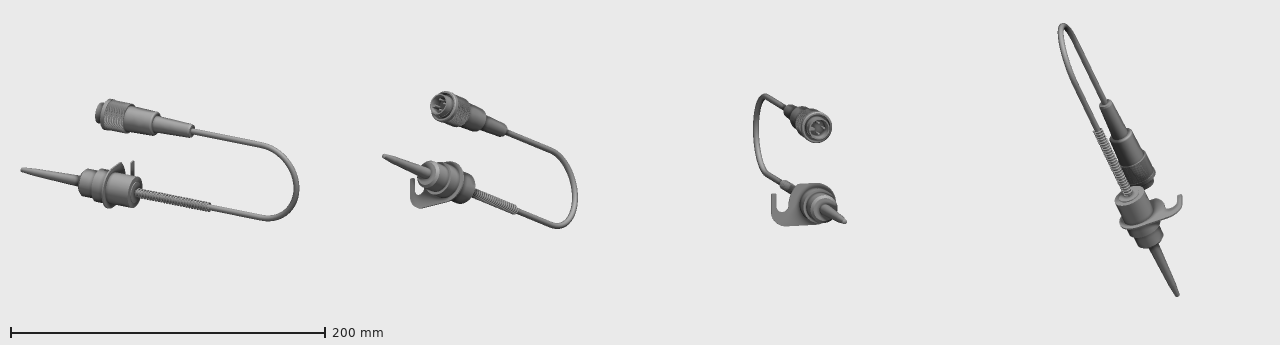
import cadquery as cq
import math


TIP_BREAK_X = 9.8
TIP_CONE_END_X = 42.1
NOSE_FACE_X = 44.7
COLLAR_X = 56.1
HOUSING_REAR_X = 81.9
HOUSING_LIP = 0.5
TIP_END_RADIUS = 1.5
TIP_DOME_HEIGHT = 0.4
TIP_BREAK_RADIUS = 2.4
TIP_BASE_RADIUS = 3.5
NOSE_RADIUS = 9.0
NOSE_CHAMFER = 1.5
COLLAR_RADIUS = 10.8
REAR_RADIUS = 10.2
LIP_RADIUS = 6.8
SET_HOLE_DIAMETER = 1.5
SET_HOLE_DEPTH = 2.0

PLATE_X = 65.0
PLATE_THICKNESS = 1.0
PLATE_HEIGHT = 27.0
PLATE_LENGTH = 43.0
PLATE_RADIUS = PLATE_HEIGHT / 2
PLATE_REACH = PLATE_LENGTH - PLATE_RADIUS
PLATE_CORNER_RADIUS = 10.0
HOOK_TOP_Z = 8.2
HOOK_ARM_WIDTH = 3.4
HOOK_TIP_ROUNDING = 1.0
THROAT_RADIUS = 17.8

CABLE_DIAMETER = 3.8
OVERALL_LENGTH = 199.7
AXIS_SPACING = 50.0
CABLE_START_X = HOUSING_REAR_X + HOUSING_LIP
BEND_RADIUS = AXIS_SPACING / 2
BEND_X = OVERALL_LENGTH - BEND_RADIUS - CABLE_DIAMETER / 2

SPRING_OUTER_DIAMETER = 6.4
SPRING_WIRE_DIAMETER = 1.0
SPRING_PITCH = 2.0
SPRING_TURNS = 26.25
SPRING_CLEARANCE = 0.4

PLUG_FACE_X = 56.7
RING_X = 61.5
KNURL_X = 64.5
BOOT_X = 77.9
BOOT_STEP_X = 97.0
BOOT_END_X = 122.8
SHELL_RADIUS = 6.8
SHELL_MOUTH_RADIUS = 6.0
SHELL_BORE_DIAMETER = 10.2
SHELL_BORE_RADIUS = SHELL_BORE_DIAMETER / 2
SHELL_BORE_DEPTH = 7.0
SHELL_STEP_RADIUS = 7.0
RING_DIAMETER = 20.2
RING_RADIUS = RING_DIAMETER / 2
RING_BORE_RADIUS = 8.5
RING_CHAMFER = 0.5
RING_RECESS_DEPTH = 3.5
KNURL_DIAMETER = 19.4
KNURL_RADIUS = KNURL_DIAMETER / 2
KNURL_DEPTH = 0.3
KNURL_COUNT = 90
BOOT_START_RADIUS = 8.4
BOOT_STEP_RADIUS = 7.8
BOOT_ROUNDING = 1.2
SLEEVE_START_RADIUS = 5.4
SLEEVE_END_DIAMETER = 9.0
SLEEVE_END_RADIUS = SLEEVE_END_DIAMETER / 2
SLEEVE_CHAMFER_LENGTH = 1.2
SLEEVE_CHAMFER_HEIGHT = 0.4
KEY_WIDTH = 1.8
KEY_ROOT_Y = 6.2
KEY_TIP_Y = 2.8
KEY_SETBACK = 0.8

PIN_DIAMETER = 1.5
PIN_CIRCLE_DIAMETER = 7.0
PIN_CIRCLE_RADIUS = PIN_CIRCLE_DIAMETER / 2
PIN_TIP_DIAMETER = 1.0
PIN_SETBACK = 1.0
PIN_ANGLES = (90, 180, 270)

SELECT_MARGIN = 0.2


def turned(profile, axis_z=0.0):
    """Solid of revolution about an X-parallel line, from (x, radius) points that close on the axis."""
    solid = cq.Workplane("XZ").polyline(profile).close().revolve(360, (0, 0, 0), (1, 0, 0))
    return solid.translate((0, 0, axis_z))


def rod(x_start, x_end, radius, y=0.0, z=0.0):
    """Cylinder parallel to X."""
    return cq.Workplane("YZ", origin=(x_start, y, z)).circle(radius).extrude(x_end - x_start)


def make_hook_plate():
    """Flat plate around the housing whose far end is an open hook."""
    throat_y = THROAT_RADIUS
    throat_top_y = math.sqrt(THROAT_RADIUS**2 - PLATE_RADIUS**2)
    throat_mid_angle = math.atan2(PLATE_RADIUS, throat_top_y) / 2
    arm_inner_y = PLATE_REACH - HOOK_ARM_WIDTH
    slot_radius = (arm_inner_y - throat_y) / 2
    corner_y = PLATE_REACH - PLATE_CORNER_RADIUS
    corner_z = PLATE_CORNER_RADIUS - PLATE_RADIUS
    diagonal = PLATE_CORNER_RADIUS * math.sqrt(0.5)
    plate = (
        cq.Workplane("YZ", origin=(PLATE_X, 0, 0))
        .moveTo(0, -PLATE_RADIUS)
        .threePointArc((-PLATE_RADIUS, 0), (0, PLATE_RADIUS))
        .lineTo(throat_top_y, PLATE_RADIUS)
        .threePointArc(
            (THROAT_RADIUS * math.cos(throat_mid_angle), THROAT_RADIUS * math.sin(throat_mid_angle)),
            (throat_y, 0),
        )
        .threePointArc((throat_y + slot_radius, -slot_radius), (arm_inner_y, 0))
        .lineTo(arm_inner_y, HOOK_TOP_Z)
        .lineTo(PLATE_REACH, HOOK_TOP_Z)
        .lineTo(PLATE_REACH, corner_z)
        .threePointArc((corner_y + diagonal, corner_z - diagonal), (corner_y, -PLATE_RADIUS))
        .close()
        .extrude(PLATE_THICKNESS)
    )
    hook_tip_edges = cq.selectors.BoxSelector(
        (PLATE_X - SELECT_MARGIN, arm_inner_y - SELECT_MARGIN, HOOK_TOP_Z - SELECT_MARGIN),
        (PLATE_X + PLATE_THICKNESS, PLATE_REACH + SELECT_MARGIN, HOOK_TOP_Z + SELECT_MARGIN),
    )
    plate = plate.edges("|X").edges(hook_tip_edges).fillet(HOOK_TIP_ROUNDING)
    return plate.cut(rod(PLATE_X, PLATE_X + PLATE_THICKNESS, REAR_RADIUS))


def make_tip_dome():
    """Shallow spherical cap that ends the probe tip."""
    sphere_radius = (TIP_END_RADIUS**2 + TIP_DOME_HEIGHT**2) / (2 * TIP_DOME_HEIGHT)
    half_angle = math.asin(TIP_END_RADIUS / sphere_radius) / 2
    arc_middle = (sphere_radius * (1 - math.cos(half_angle)), sphere_radius * math.sin(half_angle))
    return (
        cq.Workplane("XZ")
        .moveTo(0, 0)
        .threePointArc(arc_middle, (TIP_DOME_HEIGHT, TIP_END_RADIUS))
        .lineTo(TIP_DOME_HEIGHT, 0)
        .close()
        .revolve(360, (0, 0, 0), (1, 0, 0))
    )


def make_housing():
    """Tapered, dome-ended probe tip and its stepped housing, with a small set hole in the collar."""
    body = turned([
        (TIP_DOME_HEIGHT, 0),
        (TIP_DOME_HEIGHT, TIP_END_RADIUS),
        (TIP_BREAK_X, TIP_BREAK_RADIUS),
        (TIP_CONE_END_X, TIP_BASE_RADIUS),
        (NOSE_FACE_X, TIP_BASE_RADIUS),
        (NOSE_FACE_X, NOSE_RADIUS - NOSE_CHAMFER),
        (NOSE_FACE_X + NOSE_CHAMFER, NOSE_RADIUS),
        (COLLAR_X, NOSE_RADIUS),
        (COLLAR_X, COLLAR_RADIUS),
        (PLATE_X, COLLAR_RADIUS),
        (PLATE_X, REAR_RADIUS),
        (HOUSING_REAR_X, REAR_RADIUS),
        (HOUSING_REAR_X, LIP_RADIUS),
        (HOUSING_REAR_X + HOUSING_LIP, LIP_RADIUS),
        (HOUSING_REAR_X + HOUSING_LIP, 0),
    ])
    set_hole = (
        cq.Workplane("XY", origin=((COLLAR_X + PLATE_X) / 2, 0, COLLAR_RADIUS - SET_HOLE_DEPTH))
        .circle(SET_HOLE_DIAMETER / 2)
        .extrude(2 * SET_HOLE_DEPTH)
    )
    return body.union(make_tip_dome()).cut(set_hole)


def make_cable():
    """Round cable: a straight run, a half-circle bend and a straight run back to the plug."""
    path = (
        cq.Workplane("XZ")
        .moveTo(CABLE_START_X, 0)
        .lineTo(BEND_X, 0)
        .threePointArc((BEND_X + BEND_RADIUS, BEND_RADIUS), (BEND_X, AXIS_SPACING))
        .lineTo(BOOT_END_X, AXIS_SPACING)
    )
    return cq.Workplane("YZ", origin=(CABLE_START_X, 0, 0)).circle(CABLE_DIAMETER / 2).sweep(path)


def make_spring():
    """Left-handed wire coil around the cable, behind the housing."""
    coil_radius = (SPRING_OUTER_DIAMETER - SPRING_WIRE_DIAMETER) / 2
    helix = cq.Wire.makeHelix(SPRING_PITCH, SPRING_PITCH * SPRING_TURNS, coil_radius, lefthand=True)
    coil = (
        cq.Workplane("XZ", origin=(coil_radius, 0, 0))
        .circle(SPRING_WIRE_DIAMETER / 2)
        .sweep(cq.Workplane(helix), isFrenet=True)
    )
    start_x = CABLE_START_X + SPRING_WIRE_DIAMETER / 2 + SPRING_CLEARANCE
    return coil.rotate((0, 0, 0), (0, 1, 0), 90).translate((start_x, 0, 0))


def make_knurl():
    """Band of fine V-shaped flutes along X."""
    points = []
    for i in range(2 * KNURL_COUNT):
        angle = math.pi * i / KNURL_COUNT
        radius = KNURL_RADIUS - KNURL_DEPTH * (i % 2)
        points.append((radius * math.cos(angle), radius * math.sin(angle)))
    band = cq.Workplane("YZ", origin=(KNURL_X, 0, AXIS_SPACING)).polyline(points).close()
    return band.extrude(BOOT_X - KNURL_X)


def make_key():
    """Round-nosed locating key inside the plug shell, on its +Y side."""
    half_width = KEY_WIDTH / 2
    nose_y = KEY_TIP_Y + half_width
    key = (
        cq.Workplane("YZ", origin=(PLUG_FACE_X + KEY_SETBACK, 0, AXIS_SPACING))
        .moveTo(KEY_ROOT_Y, -half_width)
        .lineTo(KEY_ROOT_Y, half_width)
        .lineTo(nose_y, half_width)
        .threePointArc((KEY_TIP_Y, 0), (nose_y, -half_width))
        .close()
    )
    return key.extrude(SHELL_BORE_DEPTH - KEY_SETBACK)


def make_plug():
    """Plug with a keyed shell, a coupling ring, a knurled band and a stepped cable boot."""
    recess_x = RING_X + RING_RECESS_DEPTH
    bore_end_x = PLUG_FACE_X + SHELL_BORE_DEPTH
    profile = [
        (bore_end_x, 0),
        (bore_end_x, SHELL_BORE_RADIUS),
        (PLUG_FACE_X, SHELL_MOUTH_RADIUS),
        (PLUG_FACE_X, SHELL_RADIUS),
        (RING_X, SHELL_RADIUS),
        (RING_X, SHELL_STEP_RADIUS),
        (recess_x, SHELL_STEP_RADIUS),
        (recess_x, RING_BORE_RADIUS),
        (RING_X, RING_BORE_RADIUS),
        (RING_X, RING_RADIUS - RING_CHAMFER),
        (RING_X + RING_CHAMFER, RING_RADIUS),
        (KNURL_X, RING_RADIUS),
        (KNURL_X, BOOT_START_RADIUS),
        (BOOT_X, BOOT_START_RADIUS),
        (BOOT_STEP_X, BOOT_STEP_RADIUS),
        (BOOT_STEP_X, SLEEVE_START_RADIUS),
        (BOOT_END_X - SLEEVE_CHAMFER_LENGTH, SLEEVE_END_RADIUS),
        (BOOT_END_X, SLEEVE_END_RADIUS - SLEEVE_CHAMFER_HEIGHT),
        (BOOT_END_X, 0),
    ]
    body = turned(profile, AXIS_SPACING)
    step_rim = cq.selectors.BoxSelector(
        (BOOT_STEP_X - SELECT_MARGIN, -BOOT_START_RADIUS, AXIS_SPACING - BOOT_START_RADIUS),
        (BOOT_STEP_X + SELECT_MARGIN, BOOT_START_RADIUS, AXIS_SPACING + BOOT_START_RADIUS),
        boundingbox=True,
    )
    body = body.edges(step_rim).edges(cq.selectors.RadiusNthSelector(-1)).fillet(BOOT_ROUNDING)
    return body.union(make_knurl()).union(make_key())


def make_pin(angle):
    """Contact pin standing on the floor of the plug shell, at an angle from +Y toward +Z."""
    y = PIN_CIRCLE_RADIUS * math.cos(math.radians(angle))
    z = PIN_CIRCLE_RADIUS * math.sin(math.radians(angle))
    start_x = PLUG_FACE_X + PIN_SETBACK
    end_x = PLUG_FACE_X + SHELL_BORE_DEPTH
    pin = rod(start_x, end_x, PIN_DIAMETER / 2, y, AXIS_SPACING + z)
    return pin.faces("<X").chamfer((PIN_DIAMETER - PIN_TIP_DIAMETER) / 2)


housing = make_housing()
hook_plate = make_hook_plate()
cable = make_cable()
spring = make_spring()
plug = make_plug()
pins = [make_pin(angle) for angle in PIN_ANGLES]

result = cq.Compound.makeCompound([
    housing.val(),
    hook_plate.val(),
    cable.val(),
    spring.val(),
    plug.val(),
    *[pin.val() for pin in pins],
])